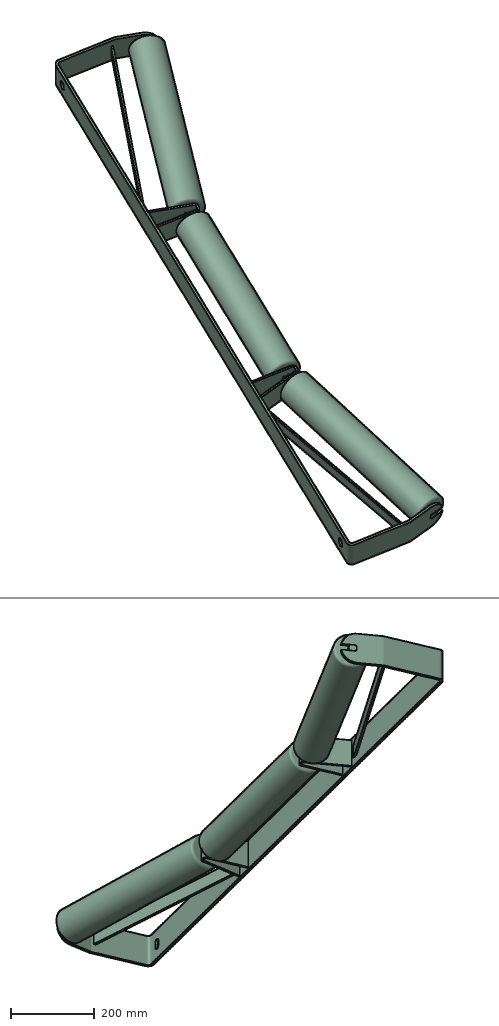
import cadquery as cq
import math

FRAME_LENGTH = 1600.0
FRAME_WIDTH = 80.0
FRAME_THICKNESS = 7.0
ARM_END_DROP = 11.0
FRAME_BEND_RADIUS = 15.0
TROUGH_ANGLE = 15.0

ROLLER_DIAMETER = 90.0
ROLLER_LENGTH = 500.0
ROLLER_EDGE_RADIUS = 6.0
CENTRE_ROLLER_Y = 100.0
SIDE_ROLLER_X = 528.0
SIDE_ROLLER_Y = 170.0
AXLE_DIAMETER = 20.0
AXLE_FLAT_WIDTH = 16.0
ROLLER_GAP = 5.0

BRACKET_TOP_Y = 125.0
BRACKET_WIDTH = 70.0
BRACKET_THICKNESS = 5.5
BRACKET_BEND_RADIUS = 10.0

BRACE_WIDTH = 35.0
BRACE_THICKNESS = 5.5
BRACE_ARM_Y = 157.0
BRACE_FOOT_X = 317.0

MOUNT_SLOT_X = 754.0
MOUNT_SLOT_WIDTH = 18.0
MOUNT_SLOT_LENGTH = 25.0

LONG = 2 * FRAME_LENGTH

COS_TILT = math.cos(math.radians(TROUGH_ANGLE))
SIN_TILT = math.sin(math.radians(TROUGH_ANGLE))
TAN_TILT = math.tan(math.radians(TROUGH_ANGLE))
SUPPORT_FACE = ROLLER_LENGTH / 2 + ROLLER_GAP
ARM_OUTER_FACE = SUPPORT_FACE + FRAME_THICKNESS
HALF_LENGTH = FRAME_LENGTH / 2
ARM_BEND_Y = SIDE_ROLLER_Y + (ARM_OUTER_FACE - (HALF_LENGTH - SIDE_ROLLER_X) * COS_TILT) / SIN_TILT


def in_side_roller_place(body):
    """Move a body built about the origin, with its roller along X, to the right-hand side roller."""
    return body.rotate((0, 0, 0), (0, 0, 1), TROUGH_ANGLE).translate((SIDE_ROLLER_X, SIDE_ROLLER_Y, 0))


def mirrored(body):
    """The left-hand copy of a right-hand body."""
    return body.mirror("YZ")


def bent_strip(corners, bend_radius, thickness, width):
    """A strip bent around the inside of a closed outline in the XY plane."""
    block = cq.Workplane("XY").polyline(corners).close().extrude(width / 2, both=True)
    return block.edges("|Z").fillet(bend_radius).faces("|Z").shell(-thickness)


def round_bar(diameter, length):
    """Round bar along X, centred on the origin."""
    return cq.Workplane("YZ", origin=(-length / 2, 0, 0)).circle(diameter / 2).extrude(length)


def axle_bar(length):
    """Bar along X, round with two flats, that is the end of every axle."""
    bar = round_bar(AXLE_DIAMETER, length)
    return bar.intersect(cq.Workplane("XY").box(length, AXLE_DIAMETER, AXLE_FLAT_WIDTH))


def axle_slot():
    """Cutter for the slots at both ends of a roller: the axle profile, open towards +Y."""
    length = 2 * ARM_OUTER_FACE
    opening = cq.Workplane("XY").box(length, LONG, AXLE_FLAT_WIDTH, centered=(True, False, True))
    return axle_bar(length).union(opening)


def make_roller(left_support, right_support):
    """Roller along X about the origin, its flatted axle flush with supports of the given thicknesses."""
    drum = round_bar(ROLLER_DIAMETER, ROLLER_LENGTH).edges("%CIRCLE").fillet(ROLLER_EDGE_RADIUS)
    axle = axle_bar(2 * SUPPORT_FACE + left_support + right_support)
    return drum.union(axle.translate(((right_support - left_support) / 2, 0, 0)))


def arm_end_trim():
    """Cutter that leaves a half-round end on the right-hand arm, ARM_END_DROP below the roller axis."""
    beyond = cq.Workplane("XY").box(ROLLER_LENGTH, LONG, LONG, centered=(True, False, True))
    round_end = round_bar(FRAME_WIDTH, ROLLER_LENGTH)
    return beyond.cut(round_end).translate((ARM_OUTER_FACE, -ARM_END_DROP, 0))


def make_frame():
    """Base strip with both ends bent up into arms that lean in to hold the side rollers."""
    top_y = 2 * SIDE_ROLLER_Y
    top_x = HALF_LENGTH - (top_y - ARM_BEND_Y) * TAN_TILT
    right_side = [(HALF_LENGTH, 0), (HALF_LENGTH, ARM_BEND_Y), (top_x, top_y)]
    left_side = [(-x, y) for x, y in reversed(right_side)]
    frame = bent_strip(right_side + left_side, FRAME_BEND_RADIUS, FRAME_THICKNESS, FRAME_WIDTH)

    end_trim = in_side_roller_place(arm_end_trim())
    slot = in_side_roller_place(axle_slot())
    top_trim = cq.Workplane("XY").box(FRAME_LENGTH, FRAME_WIDTH, LONG).translate((0, top_y, 0))
    for cutter in (end_trim, mirrored(end_trim), slot, mirrored(slot), top_trim):
        frame = frame.cut(cutter)

    mount_slots = (
        cq.Workplane("XZ")
        .pushPoints([(-MOUNT_SLOT_X, 0), (MOUNT_SLOT_X, 0)])
        .slot2D(MOUNT_SLOT_LENGTH, MOUNT_SLOT_WIDTH, 90)
        .extrude(FRAME_THICKNESS, both=True)
    )
    return frame.cut(mount_slots)


def make_bracket():
    """Right-hand bracket: one upright leg, one leg square to the side roller."""
    foot_y = -BRACKET_TOP_Y

    def leaning_x(y):
        end_x = SIDE_ROLLER_X - SUPPORT_FACE / COS_TILT
        return end_x - (y - SIDE_ROLLER_Y) * TAN_TILT

    corners = [
        (SUPPORT_FACE, foot_y),
        (SUPPORT_FACE, BRACKET_TOP_Y),
        (leaning_x(BRACKET_TOP_Y), BRACKET_TOP_Y),
        (leaning_x(foot_y), foot_y),
    ]
    below_base = cq.Workplane("XY").box(LONG, LONG, LONG).translate((0, FRAME_THICKNESS - LONG / 2, 0))
    return (
        bent_strip(corners, BRACKET_BEND_RADIUS, BRACKET_THICKNESS, BRACKET_WIDTH)
        .cut(below_base)
        .cut(axle_slot().translate((0, CENTRE_ROLLER_Y, 0)))
        .cut(in_side_roller_place(axle_slot()))
    )


def make_brace():
    """Right-hand brace: flat bar from the base to the arm, cut to lie flush on both."""
    arm_x = HALF_LENGTH - FRAME_THICKNESS
    slope = math.atan2(BRACE_ARM_Y - FRAME_THICKNESS, arm_x - BRACE_FOOT_X)
    lower_foot_x = BRACE_FOOT_X + BRACE_THICKNESS / math.sin(slope)
    lower_arm_y = BRACE_ARM_Y - BRACE_THICKNESS / math.cos(slope)
    corners = [
        (BRACE_FOOT_X, FRAME_THICKNESS),
        (lower_foot_x, FRAME_THICKNESS),
        (arm_x, lower_arm_y),
        (arm_x, BRACE_ARM_Y),
    ]
    return cq.Workplane("XY").polyline(corners).close().extrude(BRACE_WIDTH / 2, both=True)


frame = make_frame()
centre_roller = make_roller(BRACKET_THICKNESS, BRACKET_THICKNESS).translate((0, CENTRE_ROLLER_Y, 0))
right_roller = in_side_roller_place(make_roller(BRACKET_THICKNESS, FRAME_THICKNESS))
right_bracket = make_bracket()
right_brace = make_brace()

bodies = [frame.val(), centre_roller.val()]
for right_body in (right_roller, right_bracket, right_brace):
    bodies += [right_body.val(), mirrored(right_body).val()]

result = cq.Compound.makeCompound(bodies)